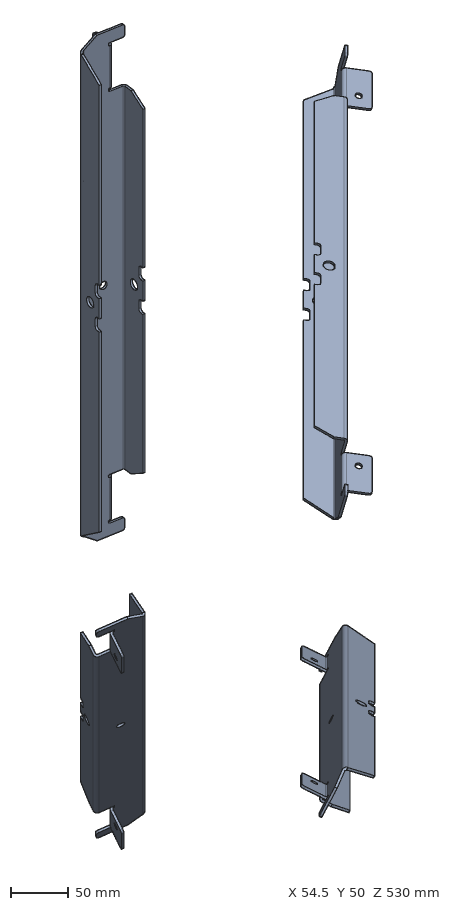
import cadquery as cq

length = 530.0
width = 50.0
flange_depth = 30.0
tab_reach = 24.5
thickness = 2.5
bend_radius = 3.5
inner_radius = bend_radius - thickness

half_length = length / 2
half_width = width / 2

front_chamfer_y = -7.0
front_fold_z = 252.5
front_tip_z = 234.0

back_half_length = 201.0
back_flat_depth = 12.5
back_end_drop = 10.0

hook_y = 23.5
hook_inner_z = 252.0
hook_corner_radius = 2.5

tab_back_y = 10.5
tab_bottom_z = 204.0
tab_top_z = 248.5
tab_corner_radius = 3.0
tab_hole_diameter = 6.5
tab_hole_x = -12.0
tab_hole_z = 218.0
relief_y = 6.0
relief_corner_radius = 1.0

web_hole_diameter = 8.0
flange_hole_diameter = 10.5
flange_hole_x = flange_depth - 13.0
notch_depth = 6.0
notch_bottom_z = 10.5
notch_height = 14.0
notch_radius = 3.0


def prism_along_x(points, x_start, x_end):
    """Prism with a (y, z) outline between two X positions."""
    return cq.Workplane("YZ").workplane(offset=x_start).polyline(points).close().extrude(x_end - x_start)


def prism_along_y(points, y_start, y_end):
    """Prism with an (x, z) outline between two Y positions."""
    return cq.Workplane("XZ").workplane(offset=-y_end).polyline(points).close().extrude(y_end - y_start)


def box(x_range, y_range, z_range):
    """Axis-aligned box between pairs of limits."""
    sizes = [end - start for start, end in (x_range, y_range, z_range)]
    return cq.Workplane("XY").box(*sizes, centered=False).translate((x_range[0], y_range[0], z_range[0]))


def both_ends(upper):
    """An upper-end feature together with its mirror image at the lower end."""
    return upper.union(upper.mirror("XY"))


def channel():
    """Full-length U section with rounded folds."""
    outer = box((0, flange_depth), (-half_width, half_width), (-half_length, half_length))
    outer = outer.edges("|Z and <X").fillet(bend_radius)
    inner = box(
        (thickness, flange_depth),
        (-half_width + thickness, half_width - thickness),
        (-half_length, half_length),
    )
    inner = inner.edges("|Z and <X").fillet(inner_radius)
    return outer.cut(inner)


def front_end_cut():
    """Waste beyond the sloping ends of the web and the front flange."""
    web_waste = prism_along_x(
        [(front_chamfer_y, half_length), (-half_width, half_length), (-half_width, front_fold_z)],
        0,
        flange_depth,
    )
    flange_waste = prism_along_y(
        [
            (bend_radius, half_length),
            (bend_radius, front_fold_z),
            (flange_depth, front_tip_z),
            (flange_depth, half_length),
        ],
        -half_width,
        front_chamfer_y,
    )
    return both_ends(web_waste.union(flange_waste))


def back_end_cut():
    """Waste above the back flange: level near the fold, then sloping down to the tip."""
    waste = prism_along_y(
        [
            (thickness, half_length),
            (thickness, back_half_length),
            (back_flat_depth, back_half_length),
            (flange_depth, back_half_length - back_end_drop),
            (flange_depth, half_length),
        ],
        relief_y,
        half_width,
    )
    return both_ends(waste)


def hook_cut():
    """Opening in the back edge of the web for a tab, plus the fold and flange material beside the hook."""
    x_range = (0, flange_depth)
    opening = box(x_range, (tab_back_y - bend_radius, half_width), (back_half_length, hook_inner_z))
    for low_z, high_z in ((back_half_length, tab_bottom_z), (tab_top_z, hook_inner_z)):
        relief = box(x_range, (relief_y, half_width), (low_z, high_z))
        opening = opening.union(relief.edges("|X and <Y").fillet(relief_corner_radius))
    hook_block = box(x_range, (tab_back_y, half_width), (hook_inner_z, half_length))
    return both_ends(opening.union(hook_block))


def hook():
    """Flat finger of the web beyond the tab, with rounded free corners."""
    finger = box((0, thickness), (relief_y, hook_y), (hook_inner_z, half_length))
    return both_ends(finger.edges("|X and >Y").fillet(hook_corner_radius))


def tab():
    """Tab folded toward -X, with its curved fold, rounded free corners and a hole."""
    z_range = (tab_bottom_z, tab_top_z)
    outer = box((-tab_reach, thickness), (relief_y, tab_back_y), z_range)
    outer = outer.edges("|Z and >X and >Y").fillet(bend_radius)
    inner = box((-tab_reach, 0), (relief_y, tab_back_y - thickness), z_range)
    inner = inner.edges("|Z and >X and >Y").fillet(inner_radius)
    folded = outer.cut(inner).edges("|Y and <X").fillet(tab_corner_radius)
    hole = cq.Workplane("XZ").center(tab_hole_x, tab_hole_z).circle(tab_hole_diameter / 2)
    return both_ends(folded.cut(hole.extrude(-half_width)))


def flange_openings():
    """Hole and edge notches passing through both flanges."""
    openings = cq.Workplane("XZ").center(flange_hole_x, 0).circle(flange_hole_diameter / 2).extrude(width, both=True)
    notch = box(
        (flange_depth - notch_depth, flange_depth),
        (-half_width, half_width),
        (notch_bottom_z, notch_bottom_z + notch_height),
    )
    return openings.union(both_ends(notch.edges("|Y and <X").fillet(notch_radius)))


web_hole = cq.Workplane("YZ").circle(web_hole_diameter / 2).extrude(thickness)

result = channel().cut(front_end_cut()).cut(back_end_cut()).cut(hook_cut())
result = result.union(hook()).union(tab())
result = result.cut(flange_openings()).cut(web_hole)